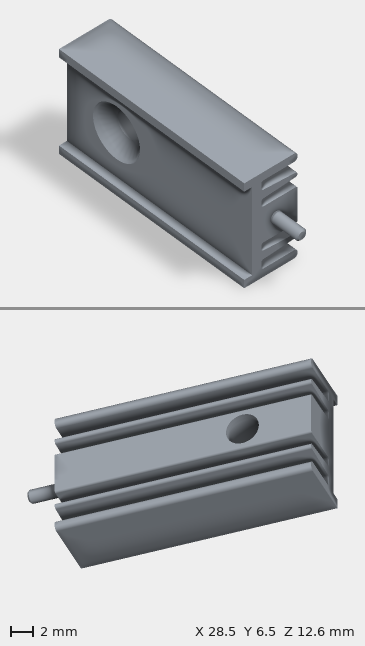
import cadquery as cq

total_length = 28.5
depth = 6.5
height = 12.6

body_length = 25.0
flange_thickness = 1.0
web_front = 0.97
slot_floor = 2.08
block_half_height = 2.17
corner_radius = 0.28
flange_tip_radius = 0.4
block_tip_radius = 0.2

fin_center = 3.65
fin_root_half = 0.55
fin_tip_half = 0.25
fin_tip_radius = 0.23

hole_x = 6.7
hole_diameter = 3.2
sink_diameter = 6.33

pin_diameter = 1.3
pin_y = 3.9
pin_tip_chamfer = 0.2
collar_diameter = 1.37
collar_length = 0.1

half_height = height / 2
flange_inner = half_height - flange_thickness


def round_edges(solid, y, heights, radius):
    """Round the lengthwise edges at depth y, at the given heights on both sides of Z = 0."""
    points = [(body_length / 2, y, side * z) for z in heights for side in (1, -1)]
    for point in points:
        solid = solid.edges(cq.selectors.NearestToPointSelector(point)).fillet(radius)
    return solid


def make_body():
    """Extrude the finned profile along X, from one half outline mirrored about Z = 0."""
    upper_half = [
        (web_front, 0),
        (web_front, flange_inner),
        (0, flange_inner),
        (0, half_height),
        (depth, half_height),
        (depth, flange_inner),
        (slot_floor, flange_inner),
        (slot_floor, fin_center + fin_root_half),
        (depth, fin_center + fin_tip_half),
        (depth, fin_center - fin_tip_half),
        (slot_floor, fin_center - fin_root_half),
        (slot_floor, block_half_height),
        (depth, block_half_height),
    ]
    lower_half = [(y, -z) for y, z in reversed(upper_half[1:])]
    outline = upper_half + lower_half
    body = cq.Workplane("YZ").polyline(outline).close().extrude(body_length)

    fin_root_edges = (fin_center + fin_root_half, fin_center - fin_root_half)
    fin_tip_edges = (fin_center + fin_tip_half, fin_center - fin_tip_half)
    slot_edges = (flange_inner, *fin_root_edges, block_half_height)
    body = round_edges(body, slot_floor, slot_edges, corner_radius)
    body = round_edges(body, depth, (half_height, flange_inner), flange_tip_radius)
    body = round_edges(body, depth, fin_tip_edges, fin_tip_radius)
    return round_edges(body, depth, (block_half_height,), block_tip_radius)


def cut_mounting_hole(body):
    """Countersink from the web face and drill through the central block."""
    face = cq.Workplane("XZ", origin=(hole_x, web_front, 0))
    sink_depth = (sink_diameter - hole_diameter) / 2
    drill = face.circle(hole_diameter / 2).extrude(-depth)
    sink = cq.Solid.makeCone(
        sink_diameter / 2,
        hole_diameter / 2,
        sink_depth,
        pnt=cq.Vector(hole_x, web_front, 0),
        dir=cq.Vector(0, 1, 0),
    )
    return body.cut(drill).cut(sink)


def make_pin():
    """Pin with a thin collar at its base and a chamfered free end."""
    base = cq.Workplane("YZ", origin=(body_length, pin_y, 0))
    pin = base.circle(pin_diameter / 2).extrude(total_length - body_length)
    pin = pin.faces(">X").edges().chamfer(pin_tip_chamfer)
    collar = base.circle(collar_diameter / 2).extrude(collar_length)
    return pin.union(collar)


result = cut_mounting_hole(make_body()).union(make_pin())